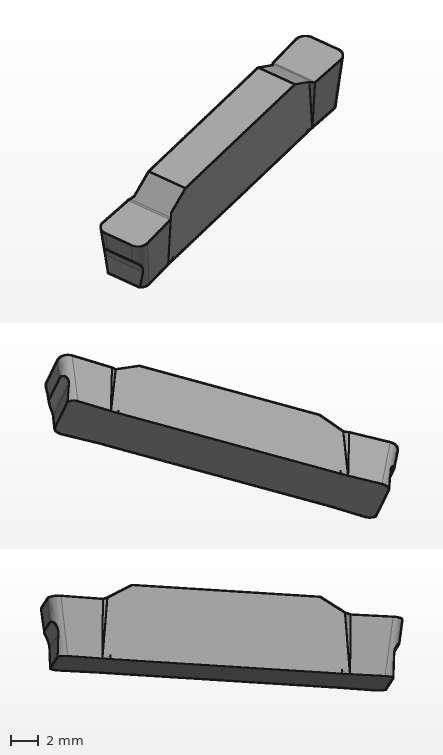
import cadquery as cq
import math

half_length = 13.13
shank_height = 5.78
shank_half_width = 1.63
head_height = 4.5

corner_half_width = 2.01
corner_radius = 0.81
back_taper = math.tan(math.radians(2))
side_relief = math.tan(math.radians(3))
front_relief = math.tan(math.radians(7))

head_length = 3.97
flare_ratio = 1.5
ramp_foot = 4.0
ramp_top = 6.17
ramp_fillet = 0.3
nick_end = 4.57

undercut_depth = 0.7
undercut_arc_top = 2.73
undercut_arc_bottom = 1.65


def flank_half_width(inset, z):
    """Half width of the head at a distance from the end and a height."""
    return corner_half_width - back_taper * inset - side_relief * (head_height - z)


def end_inset(z):
    """How far the leaning end face lies inside the overall length."""
    return front_relief * (head_height - z)


def plan_section(z):
    """Plan outline of both heads and the shank at one height."""
    tip = end_inset(z)
    head_back_width = flank_half_width(head_length, z)
    flare_length = flare_ratio * (head_back_width - shank_half_width)
    quarter = [
        (flank_half_width(tip, z), half_length - tip),
        (head_back_width, half_length - head_length),
        (shank_half_width, half_length - head_length - flare_length),
    ]
    right = quarter + [(x, -y) for x, y in reversed(quarter)]
    left = [(-x, y) for x, y in reversed(right)]
    outline = right + left
    sketch = cq.Sketch().polygon(outline + outline[:1])
    sketch = sketch.vertices(">Y or <Y").fillet(corner_radius)
    return sketch.moved(cq.Location(cq.Vector(0, 0, z)))


def side_profile():
    """Prism across X with the ramps, the head tops and the undercut ends."""
    drop = undercut_arc_top - undercut_arc_bottom
    reach = undercut_depth - end_inset(undercut_arc_top)
    radius = (reach**2 + drop**2) / (2 * reach)
    half_sweep = math.asin(drop / radius) / 2
    wall = half_length - undercut_depth
    arc_middle = (
        wall + radius * (1 - math.cos(half_sweep)),
        undercut_arc_bottom + radius * math.sin(half_sweep),
    )
    arc_end = (half_length - end_inset(undercut_arc_top), undercut_arc_top)
    half = (
        cq.Workplane("YZ")
        .moveTo(0, 0)
        .lineTo(wall, 0)
        .lineTo(wall, undercut_arc_bottom)
        .threePointArc(arc_middle, arc_end)
        .lineTo(half_length, head_height)
        .lineTo(half_length - ramp_foot, head_height)
        .lineTo(half_length - ramp_top, shank_height)
        .lineTo(0, shank_height)
        .close()
        .extrude(2 * corner_half_width, both=True)
    )
    foot = (0, half_length - ramp_foot, head_height)
    half = half.edges(cq.selectors.NearestToPointSelector(foot)).fillet(ramp_fillet)
    return half.union(half.mirror("XZ"))


def flank_nick():
    """Sliver where the flank plane runs on into the lower edge of the shank."""
    start = (corner_half_width - side_relief * head_height - shank_half_width) / back_taper
    top = back_taper * (nick_end - start) / side_relief
    back = half_length - nick_end
    inner = cq.Vector(flank_half_width(nick_end, 0), back, 0)
    outer = cq.Vector(shank_half_width, back, 0)
    front = cq.Vector(shank_half_width, half_length - start, 0)
    apex = cq.Vector(shank_half_width, back, top)
    triangles = [
        (inner, outer, front),
        (inner, outer, apex),
        (outer, front, apex),
        (front, inner, apex),
    ]
    faces = [cq.Face.makeFromWires(cq.Wire.makePolygon(t, close=True)) for t in triangles]
    return cq.Workplane(cq.Solid.makeSolid(cq.Shell.makeShell(faces)))


plan_body = cq.Workplane("XY").placeSketch(plan_section(0), plan_section(shank_height)).loft(ruled=True)
result = plan_body.intersect(side_profile())

nick = flank_nick()
nick_pair = [nick, nick.mirror("YZ")]
for one_nick in nick_pair:
    result = result.cut(one_nick).cut(one_nick.mirror("XZ"))